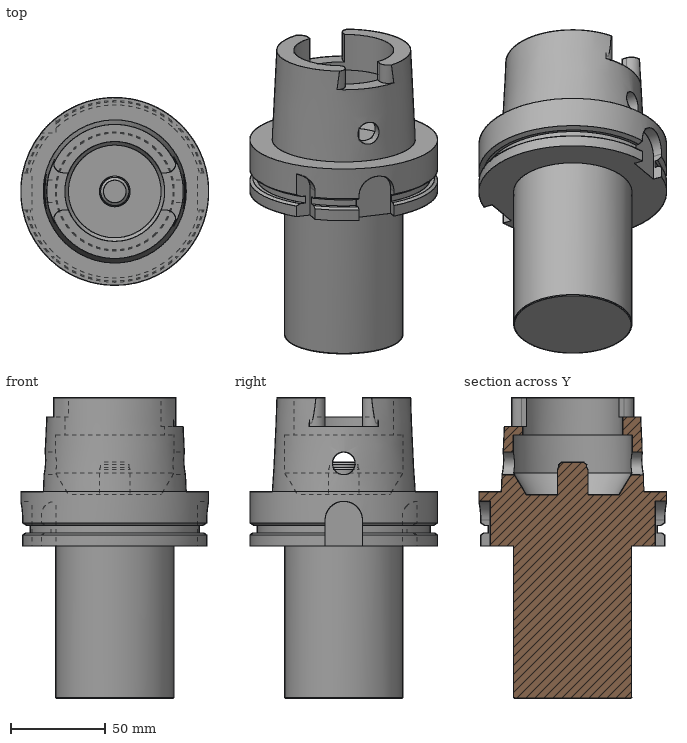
import cadquery as cq
import math

total_height = 159.9

shank_radius = 63.0 / 2
shank_chamfer = 0.5

flange_radius = 100.0 / 2
flange_bottom = 80.9
flange_top = 109.9
groove_radius = 46.0
groove_lower_edge = 86.8
groove_lower_wall = 88.0
groove_lower_wall_radius = 48.3
groove_upper_wall = 91.8
groove_upper_wall_radius = 47.7
groove_upper_edge = 93.2

taper_base_radius = 38.0
taper_tip_radius = 35.7

bore_radius = 53.1 / 2
bore_depth = 20.0
undercut_radius = 63.2 / 2
undercut_bottom = 120.0
floor_radius = 24.6
floor_height = 108.3
nozzle_base_radius = 8.2
nozzle_base_top = 121.7
nozzle_neck_radius = 7.5
nozzle_neck_bottom = 122.8
nozzle_tip_radius = 12.0 / 2
nozzle_chamfer_bottom = 124.2
nozzle_top = 125.5

cross_hole_diameter = 12.0
cross_hole_height = 124.9

drive_slot_width = 19.8
drive_slot_corner_radius = 5.1
drive_slot_reach = 32.5
drive_slot_corner_end = math.radians(40)
left_slot_depth = 10.2
right_slot_depth = 15.4

keyway_width = 19.8
keyway_top = 104.7
keyway_floor = 44.0
notch_width = 16.0
notch_side = 31.2
notch_floor = 31.3


def revolve_profile(points):
    """Revolve a closed (radius, height) outline about the Z axis."""
    return cq.Workplane("XZ").polyline(points).close().revolve(360, (0, 0, 0), (0, 1, 0))


def make_body():
    return revolve_profile([
        (0, 0),
        (shank_radius - shank_chamfer, 0),
        (shank_radius, shank_chamfer),
        (shank_radius, flange_bottom),
        (flange_radius, flange_bottom),
        (flange_radius, groove_lower_edge),
        (groove_lower_wall_radius, groove_lower_wall),
        (groove_radius, groove_lower_wall),
        (groove_radius, groove_upper_wall),
        (groove_upper_wall_radius, groove_upper_wall),
        (flange_radius, groove_upper_edge),
        (flange_radius, flange_top),
        (taper_base_radius, flange_top),
        (taper_tip_radius, total_height),
        (0, total_height),
    ])


def make_cavity():
    """Space inside the taper, leaving the nozzle standing in the middle."""
    bore_bottom = total_height - bore_depth
    return revolve_profile([
        (0, total_height),
        (bore_radius, total_height),
        (bore_radius, bore_bottom),
        (undercut_radius, bore_bottom),
        (undercut_radius, undercut_bottom),
        (floor_radius, floor_height),
        (nozzle_base_radius, floor_height),
        (nozzle_base_radius, nozzle_base_top),
        (nozzle_neck_radius, nozzle_neck_bottom),
        (nozzle_neck_radius, nozzle_chamfer_bottom),
        (nozzle_tip_radius, nozzle_top),
        (0, nozzle_top),
    ])


def make_cross_hole(side):
    """Hole through one taper wall, stopping inside the cavity short of the nozzle."""
    return (
        cq.Workplane("YZ", origin=(side * bore_radius, 0, cross_hole_height))
        .circle(cross_hole_diameter / 2)
        .extrude(side * flange_radius)
    )


def make_drive_slot(side, depth):
    """Slot on the +X (side = 1) or -X (side = -1) wall, flaring outward with rounded corners."""
    half_width = drive_slot_width / 2
    corner_x = drive_slot_reach - drive_slot_corner_radius
    corner_y = half_width + drive_slot_corner_radius
    end_x = corner_x + drive_slot_corner_radius * math.cos(drive_slot_corner_end)
    end_y = corner_y + drive_slot_corner_radius * math.sin(drive_slot_corner_end)
    outside = flange_radius / math.hypot(end_x, end_y)
    slot = (
        cq.Workplane("XY", origin=(0, 0, total_height - depth))
        .moveTo(0, -half_width)
        .lineTo(corner_x, -half_width)
        .threePointArc((drive_slot_reach, -corner_y), (end_x, -end_y))
        .lineTo(end_x * outside, -end_y * outside)
        .lineTo(end_x * outside, end_y * outside)
        .lineTo(end_x, end_y)
        .threePointArc((drive_slot_reach, corner_y), (corner_x, half_width))
        .lineTo(0, half_width)
        .close()
        .extrude(depth)
    )
    return slot if side > 0 else slot.mirror("YZ")


def make_keyway(side, width, center_y, floor_distance):
    """Round-topped cutter reaching from outside the flange to a flat floor facing along X."""
    radius = width / 2
    arch_center = keyway_top - radius
    return (
        cq.Workplane("YZ", origin=(side * floor_distance, 0, 0))
        .moveTo(center_y - radius, flange_bottom)
        .lineTo(center_y - radius, arch_center)
        .threePointArc((center_y, keyway_top), (center_y + radius, arch_center))
        .lineTo(center_y + radius, flange_bottom)
        .close()
        .extrude(side * flange_radius)
    )


result = make_body().cut(make_cavity())
for side, slot_depth in ((-1, left_slot_depth), (1, right_slot_depth)):
    result = result.cut(make_drive_slot(side, slot_depth))
    result = result.cut(make_cross_hole(side))
    result = result.cut(make_keyway(side, keyway_width, 0, keyway_floor))

notch_center = notch_side + notch_width / 2
result = result.cut(make_keyway(-1, notch_width, notch_center, notch_floor))